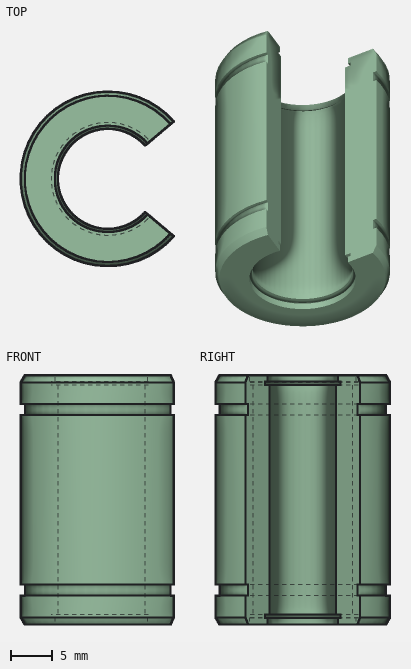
import cadquery as cq
import math

LENGTH = 30.0
OUTER_RADIUS = 10.5
BORE_RADIUS = 6.0
SLOT_MOUTH = 8.0
SLOT_ANGLE = 80.0

CHAMFER_RADIAL = 0.5
CHAMFER_AXIAL = 0.87

RING_GROOVE_RADIUS = 10.0
RING_GROOVE_WIDTH = 1.3
RING_GROOVE_SPAN = 23.0

LIP_RADIUS = 6.4
LIP_THICKNESS = 0.8
UNDERCUT_RADIUS = 6.8
UNDERCUT_WIDTH = 0.4

HALF_LENGTH = LENGTH / 2
ENDS = (1, -1)


def revolved(profile):
    """Sweep a profile of (radius, height) points fully around the Z axis."""
    return cq.Workplane("XZ").polyline(profile).close().revolve(360, (0, 0, 0), (0, 1, 0))


def ring(inner_radius, outer_radius, z_start, z_end):
    """Rectangular-section ring between two heights."""
    return revolved([
        (inner_radius, z_start),
        (outer_radius, z_start),
        (outer_radius, z_end),
        (inner_radius, z_end),
    ])


def chamfered_tube():
    """Plain tube with its outer end edges chamfered."""
    end_radius = OUTER_RADIUS - CHAMFER_RADIAL
    chamfer_z = HALF_LENGTH - CHAMFER_AXIAL
    return revolved([
        (BORE_RADIUS, -HALF_LENGTH),
        (end_radius, -HALF_LENGTH),
        (OUTER_RADIUS, -chamfer_z),
        (OUTER_RADIUS, chamfer_z),
        (end_radius, HALF_LENGTH),
        (BORE_RADIUS, HALF_LENGTH),
    ])


def retaining_ring_groove(end):
    """Material removed by the outer groove near one end."""
    outer_wall = RING_GROOVE_SPAN / 2
    inner_wall = outer_wall - RING_GROOVE_WIDTH
    return ring(RING_GROOVE_RADIUS, OUTER_RADIUS, end * inner_wall, end * outer_wall)


def bore_end_recess(end):
    """Material removed inside the lip and in the undercut behind it, at one end."""
    lip_z = HALF_LENGTH - LIP_THICKNESS
    ledge_z = lip_z - UNDERCUT_WIDTH
    return revolved([
        (BORE_RADIUS, end * HALF_LENGTH),
        (LIP_RADIUS, end * HALF_LENGTH),
        (LIP_RADIUS, end * lip_z),
        (UNDERCUT_RADIUS, end * lip_z),
        (UNDERCUT_RADIUS, end * ledge_z),
        (BORE_RADIUS, end * ledge_z),
    ])


def slot_wedge():
    """Full-length wedge, widening towards +X, that opens the sleeve from bore to outside."""
    slope = math.tan(math.radians(SLOT_ANGLE / 2))
    mouth_half_width = SLOT_MOUTH / 2
    mouth_x = math.sqrt(BORE_RADIUS**2 - mouth_half_width**2)
    apex_x = mouth_x - mouth_half_width / slope
    far_x = 2 * OUTER_RADIUS
    far_half_width = (far_x - apex_x) * slope
    return (
        cq.Workplane("XY")
        .workplane(offset=-HALF_LENGTH)
        .polyline([(apex_x, 0), (far_x, -far_half_width), (far_x, far_half_width)])
        .close()
        .extrude(LENGTH)
    )


result = chamfered_tube()
for end_direction in ENDS:
    result = result.cut(retaining_ring_groove(end_direction))
    result = result.cut(bore_end_recess(end_direction))
result = result.cut(slot_wedge())